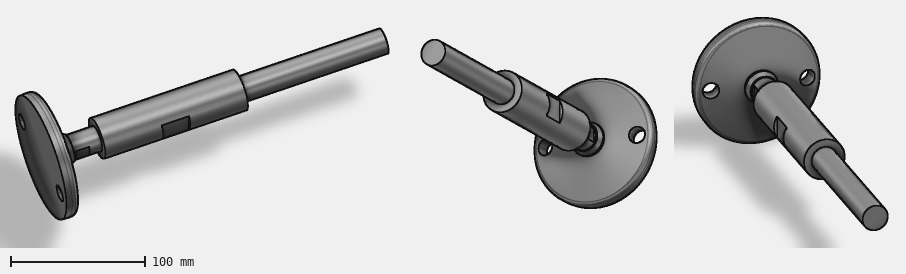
import cadquery as cq
import math

total_length = 277.0

foot_radius = 98.0 / 2
sole_radius = 48.8
rim_bottom = 4.5
shoulder_height = 10.0
shoulder_fillet = 3.3
foot_height = 16.0
seat_radius = 13.0

anchor_hole_diameter = 12.5
anchor_hole_offset = 36.0
cone_angle = math.atan2(foot_height - shoulder_height, foot_radius - seat_radius)
drill_length = 4 * foot_height

flare_top_radius = 10.8
flare_bottom = 18.0
flare_top = 23.0
rod_radius = 20.0 / 2
sleeve_radius = 32.0 / 2
sleeve_bottom = 45.5
sleeve_length = 115.2
sleeve_top = sleeve_bottom + sleeve_length

sleeve_flat_width = 27.1
sleeve_flat_length = 22.0
sleeve_flat_center = sleeve_bottom + sleeve_length / 2
rod_flat_width = 17.0
rod_flat_length = 11.0
rod_flat_center = 30.0


def revolve_about_y(points):
    """Revolve a closed (radius, height) outline about the Y axis."""
    return cq.Workplane("XY").polyline(points).close().revolve(360, (0, 0, 0), (0, 1, 0))


def anchor_drill(side):
    """Drill for the hole on the given side (-1 or +1), leaning outward with the cone's normal."""
    direction = cq.Vector(side * math.sin(cone_angle), math.cos(cone_angle), 0)
    sole_point = cq.Vector(side * anchor_hole_offset, 0, 0)
    start = sole_point - direction * (drill_length / 2)
    return cq.Solid.makeCylinder(anchor_hole_diameter / 2, drill_length, start, direction)


def make_foot():
    foot = revolve_about_y([
        (0, 0),
        (sole_radius, 0),
        (foot_radius, rim_bottom),
        (foot_radius, shoulder_height),
        (seat_radius, foot_height),
        (0, foot_height),
    ])
    shoulder_edge = cq.selectors.NearestToPointSelector((0, shoulder_height, 0))
    foot = foot.edges("%CIRCLE").edges(shoulder_edge).fillet(shoulder_fillet)
    for side in (-1, 1):
        foot = foot.cut(anchor_drill(side))
    return foot


def cut_wrench_flats(body, center, length, width_across):
    """Mill two opposite flats, leaving width_across between them."""
    cutter_size = 2 * sleeve_radius
    for side in (-1, 1):
        cutter = cq.Workplane("XY").box(cutter_size, length, cutter_size)
        body = body.cut(cutter.translate((side * (width_across + cutter_size) / 2, center, 0)))
    return body


def make_spindle():
    spindle = revolve_about_y([
        (0, foot_height),
        (seat_radius, foot_height),
        (seat_radius, flare_bottom),
        (flare_top_radius, flare_top),
        (rod_radius, flare_top),
        (rod_radius, sleeve_bottom),
        (sleeve_radius, sleeve_bottom),
        (sleeve_radius, sleeve_top),
        (rod_radius, sleeve_top),
        (rod_radius, total_length),
        (0, total_length),
    ])
    spindle = cut_wrench_flats(spindle, sleeve_flat_center, sleeve_flat_length, sleeve_flat_width)
    return cut_wrench_flats(spindle, rod_flat_center, rod_flat_length, rod_flat_width)


foot = make_foot()
spindle = make_spindle()
result = cq.Compound.makeCompound([foot.val(), spindle.val()])